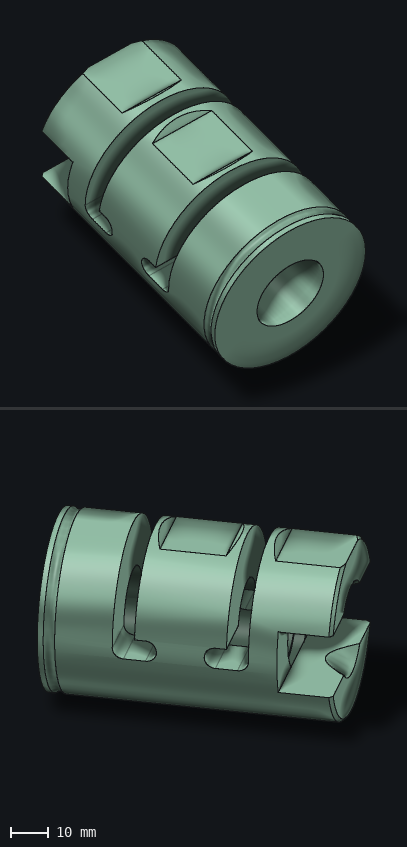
import cadquery as cq
import math

length = 80.0
outer_diameter = 50.0
bore_diameter = 22.0
counterbore_diameter = 24.0
counterbore_depth = 3.0
outer_radius = outer_diameter / 2
end_chamfer = 1.0

fork_depth = 14.7
fork_width = 18.0
lead_in_diameter = 26.2
lead_in_angle = 30.0

flat_depth = 2.0
front_flat_end = 18.5
middle_flat_start = 32.0
middle_flat_end = 50.0

slot_width = 6.0
slot_foot_length = 12.0
front_slot_wall = 22.5
rear_slot_wall = 59.5

groove_start = 75.2
groove_end = 78.3
groove_depth = 0.6


def x_cylinder(diameter, start, end):
    return cq.Workplane("YZ", origin=(start, 0, 0)).circle(diameter / 2).extrude(end - start)


def x_cone(start, start_diameter, depth, end_diameter):
    """Cone about the X axis, between two diameters."""
    profile = [
        (start, 0),
        (start, start_diameter / 2),
        (start + depth, end_diameter / 2),
        (start + depth, 0),
    ]
    return cq.Workplane("XY").polyline(profile).close().revolve(360, (0, 0, 0), (1, 0, 0))


def through_y(outline):
    """Extrude an XZ outline across the whole diameter."""
    return outline.close().extrude(outer_diameter, both=True)


def flat_cutter(start, end, start_runout, end_runout):
    floor = outer_radius - flat_depth
    rise = 2 * flat_depth
    profile = [
        (start, floor),
        (end, floor),
        (end + rise * end_runout, floor + rise),
        (start - rise * start_runout, floor + rise),
    ]
    return through_y(cq.Workplane("XZ").polyline(profile))


def slot_cutter(wall, direction):
    """L-shaped slot with its tall wall at x = wall and its foot pointing along direction."""
    radius = slot_width / 2
    corner_x = wall + direction * radius
    neck_x = wall + direction * slot_width
    foot_tip_x = wall + direction * slot_foot_length
    foot_x = foot_tip_x - direction * radius
    outline = (
        cq.Workplane("XZ")
        .moveTo(wall, outer_diameter)
        .lineTo(wall, 0)
        .radiusArc((corner_x, -radius), -direction * radius)
        .lineTo(foot_x, -radius)
        .threePointArc((foot_tip_x, 0), (foot_x, radius))
        .lineTo(neck_x, radius)
        .lineTo(neck_x, outer_diameter)
    )
    return through_y(outline)


def groove_cutter():
    """Ring with a shallow arc section."""
    section = (
        cq.Workplane("XY")
        .moveTo(groove_start, outer_radius)
        .threePointArc(
            ((groove_start + groove_end) / 2, outer_radius - groove_depth),
            (groove_end, outer_radius),
        )
        .close()
    )
    return section.revolve(360, (0, 0, 0), (1, 0, 0))


body = x_cylinder(outer_diameter, 0, length).faces("<X").chamfer(end_chamfer)
fork = cq.Workplane("XY").box(2 * fork_depth, 2 * outer_diameter, fork_width)
lead_in_depth = (lead_in_diameter - fork_width) / 2 / math.tan(math.radians(lead_in_angle))

result = (
    body.cut(fork)
    .cut(x_cylinder(bore_diameter, fork_depth, length))
    .cut(x_cylinder(counterbore_diameter, fork_depth, fork_depth + counterbore_depth))
    .cut(x_cone(0, lead_in_diameter, lead_in_depth, fork_width))
    .cut(flat_cutter(0, front_flat_end, 0, 1))
    .cut(flat_cutter(middle_flat_start, middle_flat_end, 1, 1))
    .cut(slot_cutter(front_slot_wall, 1))
    .cut(slot_cutter(rear_slot_wall, -1))
    .cut(groove_cutter())
)